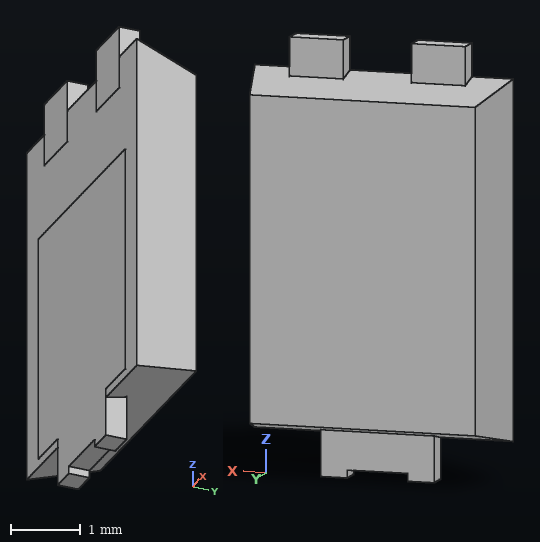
import cadquery as cq

total_height = 6.4
width = 3.9
depth = 1.05

lead_overhang = 0.49
tab_overhang = 0.61
taper_inset = 0.25
housing_bottom = tab_overhang
housing_height = total_height - lead_overhang - tab_overhang

metal_thickness = 0.325
lead_width = 0.81
lead_length = 0.99
lead_pitch = 1.84

pad_width = 3.065
pad_bottom = 0.75
pad_height = 3.565
tab_width = 1.71
notch_width = 0.91
notch_depth = 0.115


def make_block(block_width, thickness, bottom, top, center_x=0.0):
    """Upright block starting at the mounting face and extending back along +Y."""
    return (
        cq.Workplane("XY")
        .box(block_width, thickness, top - bottom, centered=(True, False, False))
        .translate((center_x, 0, bottom))
    )


def make_lead(center_x):
    return make_block(lead_width, metal_thickness, total_height - lead_length, total_height, center_x)


def make_pad():
    plate = make_block(pad_width, metal_thickness, pad_bottom, pad_bottom + pad_height)
    tab = make_block(tab_width, metal_thickness, 0, pad_bottom)
    notch = make_block(notch_width, metal_thickness, 0, notch_depth)
    return plate.union(tab).cut(notch)


def make_housing(inserts):
    """Tapered block with a matching recess for each metal insert."""
    housing = (
        cq.Workplane("XZ")
        .center(0, housing_bottom + housing_height / 2)
        .rect(width, housing_height)
        .workplane(offset=-depth)
        .rect(width - 2 * taper_inset, housing_height - 2 * taper_inset)
        .loft(ruled=True)
    )
    for insert in inserts:
        housing = housing.cut(insert)
    return housing


leads = [make_lead(side * lead_pitch / 2) for side in (-1, 1)]
pad = make_pad()
housing = make_housing([pad, *leads])

result = cq.Compound.makeCompound([housing.val(), pad.val(), *[lead.val() for lead in leads]])